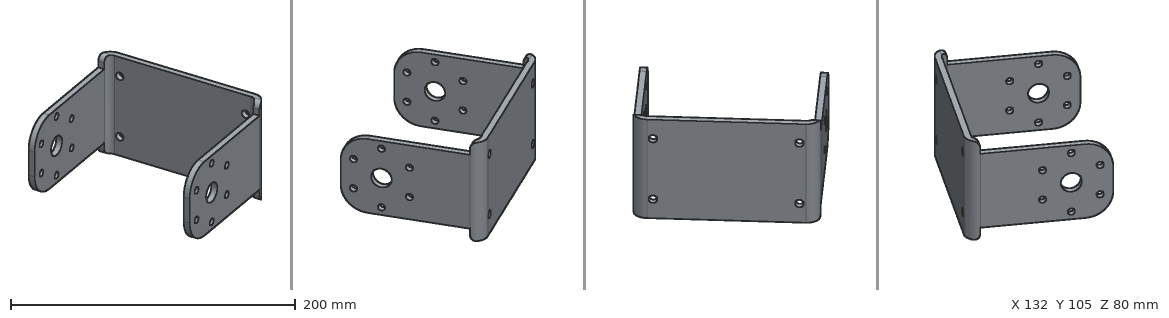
import cadquery as cq


width = 132.0
depth = 105.0
height = 80.0
thickness = 5.0
inner_bend_radius = 5.0
outer_bend_radius = inner_bend_radius + thickness

arm_height = 60.0
arm_corner_radius = 20.0
flange_depth = outer_bend_radius
flange_corner_radius = 5.0

hub_diameter = 15.0
hub_to_arm_end = 30.0
hub_y = hub_to_arm_end - depth
bolt_circle_radius = 23.75
bolt_count = 6
bolt_start_angle = 90.0
bolt_diameter = 5.12

mount_diameter = 6.0
mount_spacing_x = 103.0
mount_spacing_z = 49.0


def bent_sheet():
    """Full-height U channel with rounded bends."""
    inner_width = width - 2 * thickness
    outer = (
        cq.Workplane("XY")
        .box(width, depth, height)
        .translate((0, -depth / 2, 0))
        .edges("|Z and >Y")
        .fillet(outer_bend_radius)
    )
    inner = (
        cq.Workplane("XY")
        .box(inner_width, depth, height)
        .translate((0, -thickness - depth / 2, 0))
        .edges("|Z and >Y")
        .fillet(inner_bend_radius)
    )
    return outer.cut(inner)


def side_profile():
    """Side outline, swept across the full width: tall flange and rounded arms."""
    flange = (
        cq.Workplane("XY")
        .box(width, flange_depth, height)
        .translate((0, -flange_depth / 2, 0))
        .edges("|X and <Y")
        .fillet(flange_corner_radius)
    )
    arms = (
        cq.Workplane("XY")
        .box(width, depth, arm_height)
        .translate((0, -depth / 2, 0))
        .edges("|X and <Y")
        .fillet(arm_corner_radius)
    )
    return flange.union(arms)


def arm_holes():
    """Hub bore and bolt circle, running through both arms."""
    plane = cq.Workplane("YZ").center(hub_y, 0)
    hub = plane.circle(hub_diameter / 2).extrude(width / 2, both=True)
    bolts = (
        plane.polarArray(bolt_circle_radius, bolt_start_angle, 360, bolt_count)
        .circle(bolt_diameter / 2)
        .extrude(width / 2, both=True)
    )
    return hub.union(bolts)


def mount_holes():
    """Four holes through the back plate."""
    return (
        cq.Workplane("XZ")
        .rarray(mount_spacing_x, mount_spacing_z, 2, 2)
        .circle(mount_diameter / 2)
        .extrude(thickness)
    )


result = bent_sheet().intersect(side_profile()).cut(arm_holes()).cut(mount_holes())